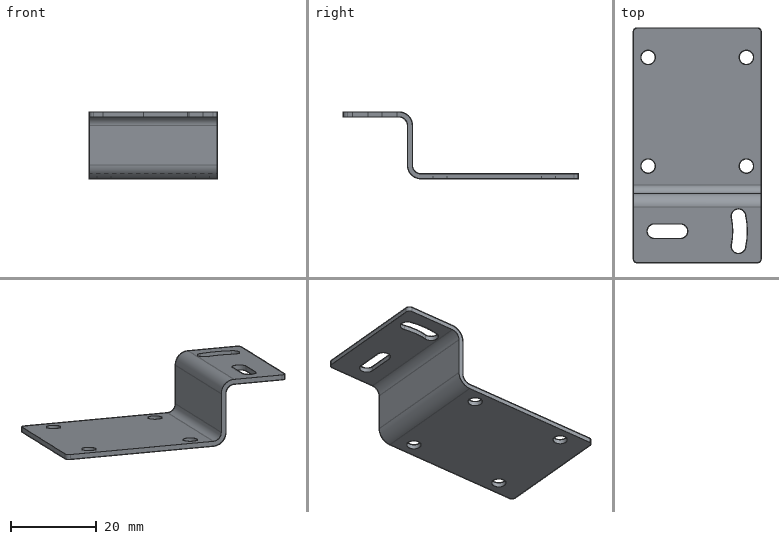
import cadquery as cq
import math

width = 30.0
length = 55.0
height = 15.7
thickness = 1.2
inner_bend_radius = 2.0
outer_bend_radius = inner_bend_radius + thickness
corner_radius = 1.0
flange_flat = 13.05

hole_diameter = 3.3
hole_spacing_x = 23.0
hole_spacing_y = 25.4
hole_back_margin = 6.95
slot_width = 3.35
slot_length = 9.45
slot_x = -7.0
slot_front_margin = 7.4
arc_slot_radius = 17.0
arc_slot_chord = 7.05

front_y = -length / 2
back_y = length / 2
upper_tangent_y = front_y + flange_flat
web_back_y = upper_tangent_y + outer_bend_radius
web_front_y = web_back_y - thickness
lower_tangent_y = web_front_y + outer_bend_radius
slot_y = front_y + slot_front_margin


def bent_sheet():
    """Z-shaped profile in the YZ plane, extruded across the width."""
    diagonal = math.sqrt(0.5)
    lower_center = (lower_tangent_y, outer_bend_radius)
    upper_center = (upper_tangent_y, height - outer_bend_radius)

    def lower_mid(radius):
        return (lower_center[0] - radius * diagonal, lower_center[1] - radius * diagonal)

    def upper_mid(radius):
        return (upper_center[0] + radius * diagonal, upper_center[1] + radius * diagonal)

    return (
        cq.Workplane("YZ", origin=(-width / 2, 0, 0))
        .moveTo(back_y, 0)
        .lineTo(lower_tangent_y, 0)
        .threePointArc(lower_mid(outer_bend_radius), (web_front_y, outer_bend_radius))
        .lineTo(web_front_y, upper_center[1])
        .threePointArc(upper_mid(inner_bend_radius), (upper_tangent_y, height - thickness))
        .lineTo(front_y, height - thickness)
        .lineTo(front_y, height)
        .lineTo(upper_tangent_y, height)
        .threePointArc(upper_mid(outer_bend_radius), (web_back_y, upper_center[1]))
        .lineTo(web_back_y, outer_bend_radius)
        .threePointArc(lower_mid(inner_bend_radius), (lower_tangent_y, thickness))
        .lineTo(back_y, thickness)
        .close()
        .extrude(width)
    )


def plate_holes():
    """Four through holes in the lower plate."""
    center_y = back_y - hole_back_margin - hole_spacing_y / 2
    return (
        cq.Workplane("XY", origin=(0, center_y, 0))
        .rarray(hole_spacing_x, hole_spacing_y, 2, 2)
        .circle(hole_diameter / 2)
        .extrude(height)
    )


def straight_slot():
    return (
        cq.Workplane("XY", origin=(slot_x, slot_y, 0))
        .slot2D(slot_length, slot_width)
        .extrude(height)
    )


def arc_slot():
    """Adjustment slot curved about the centre of the straight slot."""
    half_angle = math.asin(arc_slot_chord / 2 / arc_slot_radius)
    end_round = slot_width / 2
    inner = arc_slot_radius - end_round
    outer = arc_slot_radius + end_round

    def polar(radius, angle):
        return (radius * math.cos(angle), radius * math.sin(angle))

    def end_tip(side):
        x, y = polar(arc_slot_radius, side * half_angle)
        return (x - end_round * math.sin(half_angle), y + side * end_round * math.cos(half_angle))

    return (
        cq.Workplane("XY", origin=(slot_x, slot_y, 0))
        .moveTo(*polar(outer, -half_angle))
        .threePointArc(polar(outer, 0), polar(outer, half_angle))
        .threePointArc(end_tip(1), polar(inner, half_angle))
        .threePointArc(polar(inner, 0), polar(inner, -half_angle))
        .threePointArc(end_tip(-1), polar(outer, -half_angle))
        .close()
        .extrude(height)
    )


bracket = bent_sheet()
bracket = bracket.faces("<Y or >Y").edges("|Z").fillet(corner_radius)
result = bracket.cut(plate_holes()).cut(straight_slot()).cut(arc_slot())